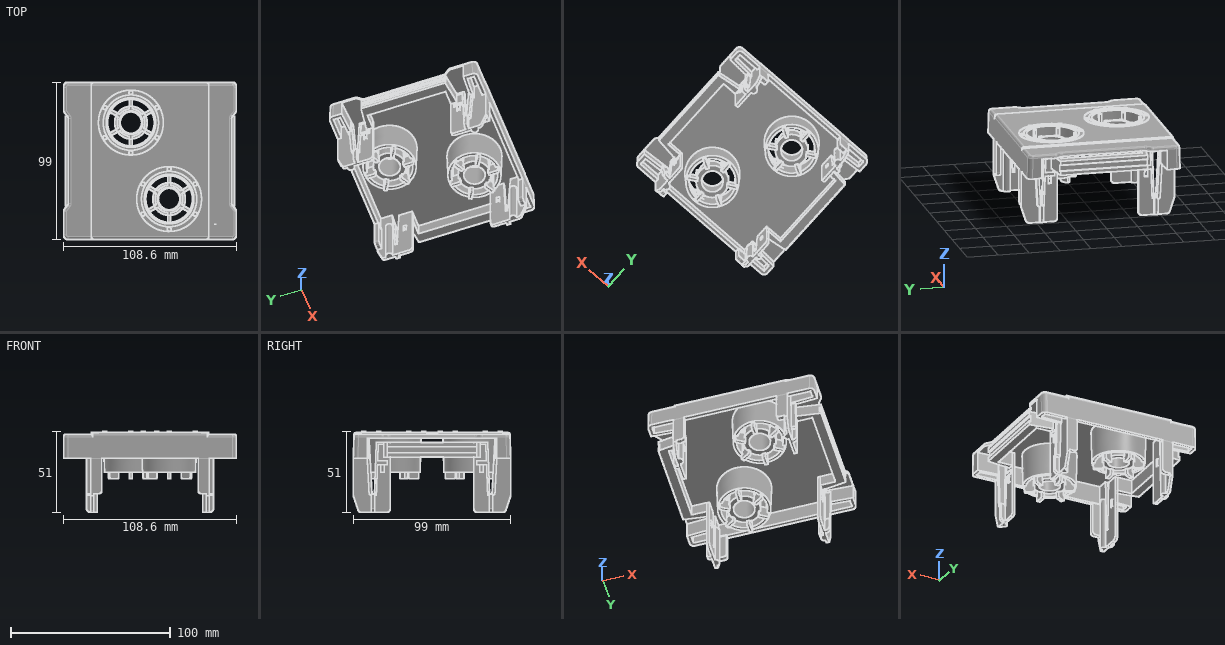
import cadquery as cq

LENGTH_X = 108.6
WIDTH_Y = 99.0
TOP_Z = 51.0
PAD_Z = 50.2
DECK_Z = 49.2
SKIRT_Z = 34.0
CEILING_Z = 46.5
HALF_X = LENGTH_X / 2
HALF_Y = WIDTH_Y / 2

WALL = 2.5
SKIRT_DRAFT = 0.03
CORNER_R = 2.8
EDGE_R = 1.6
PAD_HALF_X = 37.0
PAD_CORNER = 1.4
NOTCH_DEPTH = 3.0
NOTCH_OUTER_Y = 31.0
NOTCH_INNER_Y = 27.2
NOTCH_END_Y = 35.0
NOTCH_R = 1.5
WINDOW_HALF_Y = 40.6
WINDOW_INNER_HALF_Y = 39.5
RETURN_WALL = 2.0

CUP_CENTRES = [(-12.0, 24.0), (12.0, -24.0)]
RING_R = 40.8 / 2
CUP_TOP_R = 34.8 / 2
CUP_BOTTOM_R = 16.7
BORE_TOP_R = 15.6
BORE_BOTTOM_R = 14.6
CUP_BOTTOM_Z = 25.2
RING_Z = 50.5
HUB_TOP_Z = 46.0
HUB_TOP_R = 8.7
HUB_BOTTOM_R = 10.3
HUB_BORE_TOP_R = 7.4
HUB_BORE_BOTTOM_R = 6.7
SPOKES = 6
SPOKE_WIDTH = 2.0
SPOKE_BOTTOM_Z = 21.0
SPOKE_TOP_Z = 30.0
SPOKE_INNER_R = 9.3
SPOKE_OUTER_R = 15.8
SPOKE_CORNER = 1.2
PIN_D = 2.5
PIN_CIRCLE_R = (RING_R + CUP_TOP_R) / 2

LEG_X = 37.2
LEG_PLATE = 1.8
LEG_INNER_Y = 26.2
LEG_TAPER_Z = 10.5
LEG_FOOT_Y = 46.0
FOOT_R = 2.2
ARM_X = 40.0
COLUMN_X = 33.1
SLOT_Y = 37.0
SLOT_BOTTOM_Z = 11.7
SLOT_BOTTOM_Y = (36.2, 37.6)
SLOT_TOP_Y = (34.9, 39.5)
ARM_WALL = 1.9
ARM_FLOOR = 1.0
RELIEF_WALL = 1.3
RELIEF = 0.3
RIDGE_WIDTH = 2.2
RIDGE_R = 2.7
COLUMN_Y = 41.4
FLANGE_X = 30.2
FLANGE_WALL = 3.0
FLANGE_R = 2.0

BAR_X = 53.2
BAR_TOP_Z = 44.0
BAR_BOTTOM_Z = 34.8
BAR_FRONT_HALF_Y = 28.1
BAR_BACK_HALF_Y = 30.2
BAR_DEPTH = 6.2
BAR_SIDE_WALL = 2.0
GROOVE_Z = (37.4, 41.3)
GROOVE_HALF_Y = 28.8
GROOVE_DEPTH = 1.0
SHELF_Z = (30.0, 32.5)
SHELF_END_Y = 28.0
VENT_Y = (30.1, 32.1)
VENT_Z = (25.1, SHELF_Z[0])


def box(x_range, y_range, z_range):
    """Axis-aligned block between the given limits."""
    size = [limits[1] - limits[0] for limits in (x_range, y_range, z_range)]
    corner = (x_range[0], y_range[0], z_range[0])
    return cq.Workplane("XY").box(*size, centered=False).translate(corner)


def prism_x(points, x_range):
    """(y, z) outline extruded along X."""
    sketch = cq.Workplane("YZ", origin=(x_range[0], 0, 0)).polyline(points).close()
    return sketch.extrude(x_range[1] - x_range[0])


def prism_z(points, z_range):
    """(x, y) outline extruded along Z."""
    sketch = cq.Workplane("XY", origin=(0, 0, z_range[0])).polyline(points).close()
    return sketch.extrude(z_range[1] - z_range[0])


def cone(center, bottom, top):
    """Straight cone through two (radius, z) sections."""
    outline = [(0, bottom[1]), bottom, top, (0, top[1])]
    solid = cq.Workplane("XZ").polyline(outline).close().revolve(360, (0, 0, 0), (0, 1, 0))
    return solid.translate((center[0], center[1], 0))


def both_ends(solid):
    """The solid together with its mirror image at the other X end."""
    return solid.union(solid.mirror("YZ"))


def both_sides(solid):
    """The solid together with its mirror image on the other Y side."""
    return solid.union(solid.mirror("XZ"))


def drafted_block(half_x, top_z):
    """Block with leaning long walls, rising from the rim to top_z."""
    top_y = HALF_Y - SKIRT_DRAFT * (top_z - SKIRT_Z)
    outline = [(-HALF_Y, SKIRT_Z), (HALF_Y, SKIRT_Z), (top_y, top_z), (-top_y, top_z)]
    return prism_x(outline, (-half_x, half_x))


def make_end_notch():
    """Cutter for the shallow finger notch in the -X end."""
    bottom_x = -HALF_X + NOTCH_DEPTH
    outside_x = -HALF_X - NOTCH_DEPTH
    flare_y = NOTCH_OUTER_Y + (NOTCH_OUTER_Y - NOTCH_INNER_Y)
    points = [
        (outside_x, -flare_y),
        (bottom_x, -NOTCH_INNER_Y),
        (bottom_x, NOTCH_INNER_Y),
        (outside_x, flare_y),
    ]
    return prism_z(points, (SKIRT_Z, PAD_Z))


def make_pad():
    """Raised strip across the middle of the cover."""
    block = drafted_block(PAD_HALF_X, PAD_Z).faces(">Z").edges("|X").fillet(EDGE_R)
    plan = cq.Workplane("XY", origin=(0, 0, SKIRT_Z)).rect(2 * PAD_HALF_X, WIDTH_Y)
    plan = plan.extrude(PAD_Z - SKIRT_Z).edges("|Z").chamfer(PAD_CORNER)
    return block.intersect(plan)


def make_cover():
    """Hollow cover open below, with a window in each end wall."""
    shell = drafted_block(HALF_X, DECK_Z)
    shell = shell.edges("not(|X or |Y)").fillet(CORNER_R)
    shell = shell.cut(both_ends(make_end_notch()))
    notch_limit = (LENGTH_X, NOTCH_END_Y, TOP_Z)
    notch_zone = cq.selectors.BoxSelector((-LENGTH_X, -NOTCH_END_Y, 0), notch_limit)
    shell = shell.edges("|Z").edges(notch_zone).fillet(NOTCH_R)
    shell = shell.faces(">Z").edges().fillet(EDGE_R)
    shell = shell.union(make_pad())

    inner_x = HALF_X - WALL
    inner_y = HALF_Y - WALL
    shell = shell.cut(box((-inner_x, inner_x), (-inner_y, inner_y), (SKIRT_Z, CEILING_Z)))
    window = (-WINDOW_HALF_Y, WINDOW_HALF_Y)
    shell = shell.cut(box((-HALF_X, HALF_X), window, (SKIRT_Z, CEILING_Z)))
    return shell.union(both_ends(both_sides(make_return_wall())))


def make_return_wall():
    """Slanted wall from the edge of the end window in to the leg."""
    back_x = -LEG_X + LEG_PLATE
    points = [
        (-HALF_X, WINDOW_HALF_Y),
        (back_x, WINDOW_INNER_HALF_Y),
        (back_x, WINDOW_INNER_HALF_Y + RETURN_WALL),
        (-HALF_X, WINDOW_HALF_Y + RETURN_WALL),
    ]
    return prism_z(points, (SKIRT_Z, CEILING_Z))


def make_spoke():
    """Radial web along +X with raised strips on the hub and the cup wall."""
    y_range = (-SPOKE_WIDTH / 2, SPOKE_WIDTH / 2)
    web = box((SPOKE_INNER_R, SPOKE_OUTER_R), y_range, (SPOKE_BOTTOM_Z, SPOKE_TOP_Z))
    web = web.faces("<Z").edges("|Y").fillet(SPOKE_CORNER)
    hub_strip = box((HUB_BORE_TOP_R, HUB_BOTTOM_R), y_range, (CUP_BOTTOM_Z, HUB_TOP_Z))
    wall_strip = box((BORE_BOTTOM_R, SPOKE_OUTER_R), y_range, (CUP_BOTTOM_Z, DECK_Z))
    return web.union(hub_strip).union(wall_strip)


def add_cup(body, center):
    """Body with a spoked tool cup, its raised ring and locating pins."""
    ring = cq.Workplane("XY", origin=(*center, CEILING_Z)).circle(RING_R).extrude(RING_Z - CEILING_Z)
    recess = cq.Workplane("XY", origin=(*center, PAD_Z)).circle(CUP_TOP_R).extrude(RING_Z - PAD_Z)
    body = body.union(ring).cut(recess)
    body = body.union(cone(center, (CUP_BOTTOM_R, CUP_BOTTOM_Z), (CUP_TOP_R, PAD_Z)))
    body = body.cut(cone(center, (BORE_BOTTOM_R, CUP_BOTTOM_Z), (BORE_TOP_R, PAD_Z)))
    body = body.union(cone(center, (HUB_BOTTOM_R, CUP_BOTTOM_Z), (HUB_TOP_R, HUB_TOP_Z)))
    spoke = make_spoke()
    pin = cq.Workplane("XY", origin=(PIN_CIRCLE_R, 0, PAD_Z)).circle(PIN_D / 2).extrude(TOP_Z - PAD_Z)
    for index in range(SPOKES):
        angle = 90 + index * 360 / SPOKES
        for feature in (spoke, pin):
            turned = feature.rotate((0, 0, 0), (0, 0, 1), angle)
            body = body.union(turned.translate((*center, 0)))
    return body.cut(cone(center, (HUB_BORE_BOTTOM_R, CUP_BOTTOM_Z), (HUB_BORE_TOP_R, HUB_TOP_Z)))


def slot_y(bottom_y, top_y, z):
    """Y of a straight slot edge at height z."""
    share = (z - SLOT_BOTTOM_Z) / (CEILING_Z - SLOT_BOTTOM_Z)
    return bottom_y + share * (top_y - bottom_y)


def slot_strip(margins, z_range, x_range):
    """Tapered V prism of the slot, widened by (inner, outer) margins."""
    inner = [slot_y(SLOT_BOTTOM_Y[0], SLOT_TOP_Y[0], z) - margins[0] for z in z_range]
    outer = [slot_y(SLOT_BOTTOM_Y[1], SLOT_TOP_Y[1], z) + margins[1] for z in z_range]
    bottom_z, top_z = z_range
    points = [(inner[0], bottom_z), (outer[0], bottom_z), (outer[1], top_z), (inner[1], top_z)]
    return prism_x(points, x_range)


def make_leg():
    """Spring leg at the -X, +Y corner."""
    plate_back = -LEG_X + LEG_PLATE
    plate_outline = [
        (LEG_INNER_Y, 0),
        (LEG_FOOT_Y, 0),
        (HALF_Y, LEG_TAPER_Z),
        (HALF_Y, SKIRT_Z),
        (HALF_Y - WALL, CEILING_Z),
        (SLOT_Y, CEILING_Z),
        (SLOT_Y, BAR_TOP_Z),
        (LEG_INNER_Y, BAR_TOP_Z),
    ]
    plate = prism_x(plate_outline, (-LEG_X, plate_back))
    plate = plate.faces("<Z").edges("|X").fillet(FOOT_R)

    arm_z = (SLOT_BOTTOM_Z - ARM_FLOOR, BAR_TOP_Z)
    arm = slot_strip((0, ARM_WALL), arm_z, (-ARM_X, plate_back))
    arm = arm.faces("<Z").edges("|X").edges(">Y").chamfer(ARM_FLOOR)
    border = slot_strip((RELIEF_WALL, 0), arm_z, (-LEG_X - RELIEF, plate_back))
    ridge_y = (SLOT_Y - RIDGE_WIDTH / 2, SLOT_Y + RIDGE_WIDTH / 2)
    ridge = box((-ARM_X, -LEG_X), ridge_y, (0, SLOT_BOTTOM_Z))
    ridge = ridge.faces("<Z").edges("<X").fillet(RIDGE_R)
    column_r = LEG_X - LEG_PLATE - COLUMN_X
    column = cq.Workplane("XY", origin=(plate_back, COLUMN_Y, 0)).circle(column_r).extrude(SKIRT_Z)
    column = column.intersect(box((-LEG_X, 0), (0, HALF_Y), (0, SKIRT_Z)))
    leg = plate.union(arm).union(border).union(ridge).union(column).union(make_latch_relief())
    leg = leg.cut(slot_strip((0, 0), (SLOT_BOTTOM_Z, CEILING_Z), (-ARM_X, -COLUMN_X)))
    leg = leg.cut(box((-LEG_X, plate_back), VENT_Y, VENT_Z))

    flange = box((-LEG_X, -FLANGE_X), (HALF_Y - FLANGE_WALL, HALF_Y), (SLOT_BOTTOM_Z, SKIRT_Z))
    flange = flange.faces("<Z").edges(">X").fillet(FLANGE_R)
    return leg.union(flange)


def make_latch_relief():
    """Shallow raised shelf and top border on the inner half of the leg."""
    x_range = (-LEG_X - RELIEF, -LEG_X)
    end_y = SLOT_TOP_Y[0]
    shelf = box(x_range, (SHELF_END_Y, end_y), SHELF_Z)
    top_border = box(x_range, (BAR_FRONT_HALF_Y, end_y), (BAR_TOP_Z - RELIEF_WALL, BAR_TOP_Z))
    return shelf.union(top_border)


def make_release_bar():
    """Grooved push bar at the -X end, joined to both legs by side walls."""
    outer = [
        (-BAR_X, -BAR_FRONT_HALF_Y),
        (-LEG_X, -BAR_BACK_HALF_Y),
        (-LEG_X, BAR_BACK_HALF_Y),
        (-BAR_X, BAR_FRONT_HALF_Y),
    ]
    bar = prism_z(outer, (BAR_BOTTOM_Z, BAR_TOP_Z))
    inner_half_y = BAR_FRONT_HALF_Y - BAR_SIDE_WALL
    hollow = box((-BAR_X + BAR_DEPTH, -LEG_X), (-inner_half_y, inner_half_y), (BAR_BOTTOM_Z, BAR_TOP_Z))
    groove = box((-BAR_X, -BAR_X + GROOVE_DEPTH), (-GROOVE_HALF_Y, GROOVE_HALF_Y), GROOVE_Z)
    return bar.cut(hollow).cut(groove)


result = make_cover()
for cup_center in CUP_CENTRES:
    result = add_cup(result, cup_center)
result = result.union(both_ends(both_sides(make_leg()).union(make_release_bar())))